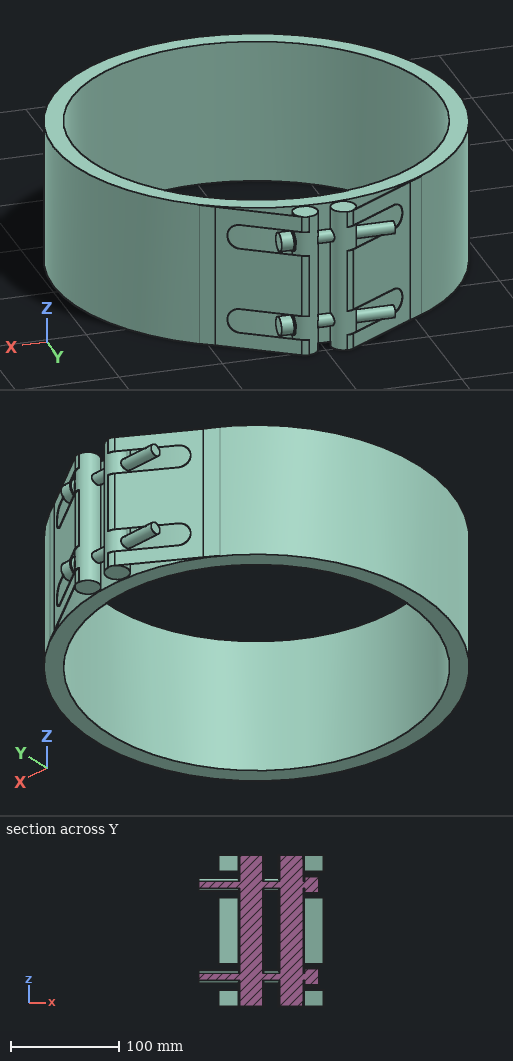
import math

import cadquery as cq

SLEEVE_INNER_DIAMETER = 356.0
SLEEVE_OUTER_DIAMETER = 392.4
SLEEVE_HEIGHT = 141.0
SLEEVE_RADIUS = SLEEVE_OUTER_DIAMETER / 2

PIN_DIAMETER = 24.0
PIN_SPACING = 37.0
PIN_HEIGHT = 140.0
PIN_SINK = 0.05
PIN_RADIUS = PIN_DIAMETER / 2
PIN_X = PIN_SPACING / 2
PIN_DISTANCE = SLEEVE_RADIUS + PIN_RADIUS - PIN_SINK
PIN_Y = math.sqrt(PIN_DISTANCE**2 - PIN_X**2)

STRAP_THICKNESS = 0.6
STRAP_HEIGHT = PIN_HEIGHT
LIP_RADIUS = PIN_RADIUS + STRAP_THICKNESS

BOLT_DIAMETER = 12.0
BOLT_LENGTH = 99.0
BOLT_LEVELS = (-42.5, 42.5)
HEAD_DIAMETER = 18.0
HEAD_HEIGHT = 12.0
WASHER_DIAMETER = 20.0
WASHER_THICKNESS = 1.5

WINDOW_WIDTH = 24.0
WINDOW_LENGTH = 71.0

NORMAL_ANGLE = math.atan2(PIN_Y, PIN_X) - math.acos((SLEEVE_RADIUS - LIP_RADIUS) / PIN_DISTANCE)
STRAP_NORMAL = cq.Vector(math.cos(NORMAL_ANGLE), math.sin(NORMAL_ANGLE), 0)
SLEEVE_TANGENT = STRAP_NORMAL * SLEEVE_RADIUS
LIP_TANGENT = cq.Vector(PIN_X, PIN_Y, 0) + STRAP_NORMAL * LIP_RADIUS


def polar_point(radius, angle):
    """X and Y of a point at the given radius and angle."""
    return radius * math.cos(angle), radius * math.sin(angle)


def upright_cylinder(diameter, height, x=0.0, y=0.0):
    """Cylinder along Z, centred on the plane Z = 0."""
    return cq.Workplane("XY").center(x, y).circle(diameter / 2).extrude(height / 2, both=True)


def cylinder_along_x(diameter, x_start, length, z):
    """Cylinder along +X on the level of the pin axes."""
    plane = cq.Plane(origin=(x_start, PIN_Y, z), xDir=(0, 1, 0), normal=(1, 0, 0))
    return cq.Workplane(plane).circle(diameter / 2).extrude(length)


def make_sleeve():
    """Plain ring."""
    bore = upright_cylinder(SLEEVE_INNER_DIAMETER, SLEEVE_HEIGHT)
    return upright_cylinder(SLEEVE_OUTER_DIAMETER, SLEEVE_HEIGHT).cut(bore)


def make_lip():
    """Curved end of the strap, hugging the +X pin from the tangent line to the pin's crest."""
    crest_angle = math.pi / 2
    middle_angle = (NORMAL_ANGLE + crest_angle) / 2
    return (
        cq.Workplane("XY")
        .center(PIN_X, PIN_Y)
        .lineTo(*polar_point(LIP_RADIUS, NORMAL_ANGLE))
        .threePointArc(polar_point(LIP_RADIUS, middle_angle), polar_point(LIP_RADIUS, crest_angle))
        .close()
        .extrude(STRAP_HEIGHT / 2, both=True)
    )


def make_window(outer_face, level):
    """Cutter through the strap and its lip, with the end near the sleeve rounded."""
    straight_end = WINDOW_LENGTH - WINDOW_WIDTH / 2
    open_end = -2 * LIP_RADIUS
    return (
        cq.Workplane(outer_face)
        .moveTo(open_end, level - WINDOW_WIDTH / 2)
        .lineTo(straight_end, level - WINDOW_WIDTH / 2)
        .threePointArc((WINDOW_LENGTH, level), (straight_end, level + WINDOW_WIDTH / 2))
        .lineTo(open_end, level + WINDOW_WIDTH / 2)
        .close()
        .extrude(-LIP_RADIUS)
    )


def make_strap():
    """Flat sheet and lip from the +X pin to the sleeve, with a window for each bolt."""
    along_strap = SLEEVE_TANGENT - LIP_TANGENT
    outer_face = cq.Plane(origin=LIP_TANGENT, xDir=along_strap, normal=STRAP_NORMAL)
    sheet = (
        cq.Workplane(outer_face)
        .center(along_strap.Length / 2, 0)
        .rect(along_strap.Length, STRAP_HEIGHT)
        .extrude(-STRAP_THICKNESS)
    )
    strap = sheet.union(make_lip())
    for level in BOLT_LEVELS:
        strap = strap.cut(make_window(outer_face, level))
    return strap


def make_bolt(level):
    """Cap screw with a washer, its head on the +X side."""
    washer_start = PIN_X + PIN_RADIUS
    head_start = washer_start + WASHER_THICKNESS
    shank = cylinder_along_x(BOLT_DIAMETER, head_start - BOLT_LENGTH, BOLT_LENGTH, level)
    washer = cylinder_along_x(WASHER_DIAMETER, washer_start, WASHER_THICKNESS, level)
    head = cylinder_along_x(HEAD_DIAMETER, head_start, HEAD_HEIGHT, level)
    return shank.union(washer).union(head)


pin = upright_cylinder(PIN_DIAMETER, PIN_HEIGHT, PIN_X, PIN_Y)
clamp_half = pin.union(make_strap())
result = make_sleeve().union(clamp_half).union(clamp_half.mirror("YZ"))

for bolt_level in BOLT_LEVELS:
    result = result.union(make_bolt(bolt_level))